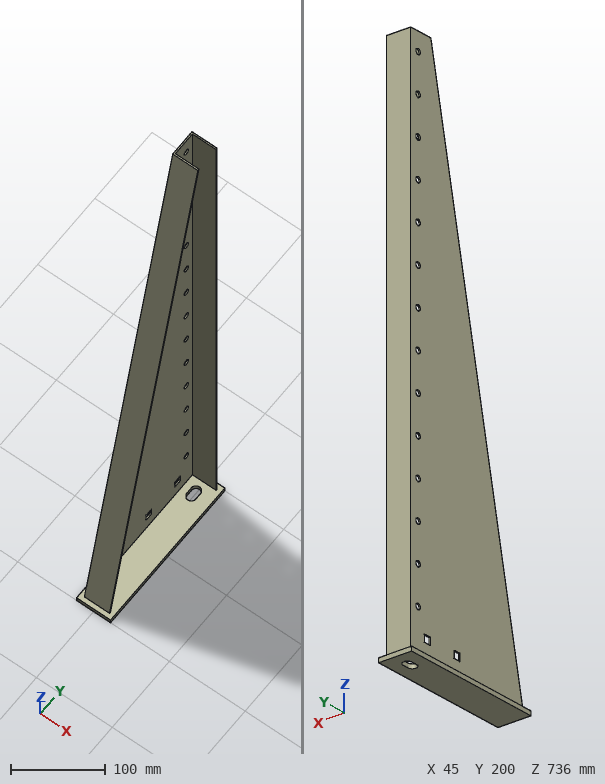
import cadquery as cq
import math

plate_width = 45.0
plate_depth = 200.0
plate_thickness = 6.0

total_height = 736
margin = 6.0
top_depth = 34.0
wall = 2.0

row_count = 14
row_pitch = 50.0
row_diameter = 7.0
row_inset = 12.5
row_top_inset = 24.0

foot_size = 9.5
foot_inset = 28.0
foot_count = 2
foot_pitch = 50.0
foot_height = 28.0

slot_length = 20.0
slot_width = 12.0
slot_inset = 25.0

channel_width = plate_width - 2 * margin
web_x = -channel_width / 2
back_y = plate_depth / 2 - margin
front_y = -back_y
top_front_y = back_y - top_depth


def make_plate():
    plate = cq.Workplane("XY").box(plate_width, plate_depth, plate_thickness, centered=(True, True, False))
    slot = (
        cq.Workplane("XY")
        .center(0, plate_depth / 2 - slot_inset)
        .slot2D(slot_length, slot_width, 90)
        .extrude(plate_thickness)
    )
    return plate.cut(slot)


def tapered_block(left_x, back_inset, front_inset):
    """Solid of the channel's width from left_x, its back and sloped faces moved inward along Y."""
    return (
        cq.Workplane("YZ", origin=(left_x, 0, 0))
        .moveTo(back_y - back_inset, plate_thickness)
        .lineTo(back_y - back_inset, total_height)
        .lineTo(top_front_y + front_inset, total_height)
        .lineTo(front_y + front_inset, plate_thickness)
        .close()
        .extrude(channel_width)
    )


def make_channel():
    slope = (top_front_y - front_y) / (total_height - plate_thickness)
    sloped_wall = wall * math.hypot(1, slope)
    hollow = tapered_block(web_x + wall, wall, sloped_wall)
    return tapered_block(web_x, 0, 0).cut(hollow)


def web_plane(points):
    """Points (y, z) marked on the outer face of the web."""
    return cq.Workplane("YZ", origin=(web_x, 0, 0)).pushPoints(points)


row_points = [(back_y - row_inset, total_height - row_top_inset - i * row_pitch) for i in range(row_count)]
foot_points = [(back_y - foot_inset - i * foot_pitch, foot_height) for i in range(foot_count)]

row_holes = web_plane(row_points).circle(row_diameter / 2).extrude(wall)
foot_holes = web_plane(foot_points).rect(foot_size, foot_size).extrude(wall)

result = make_plate().union(make_channel().cut(row_holes).cut(foot_holes))